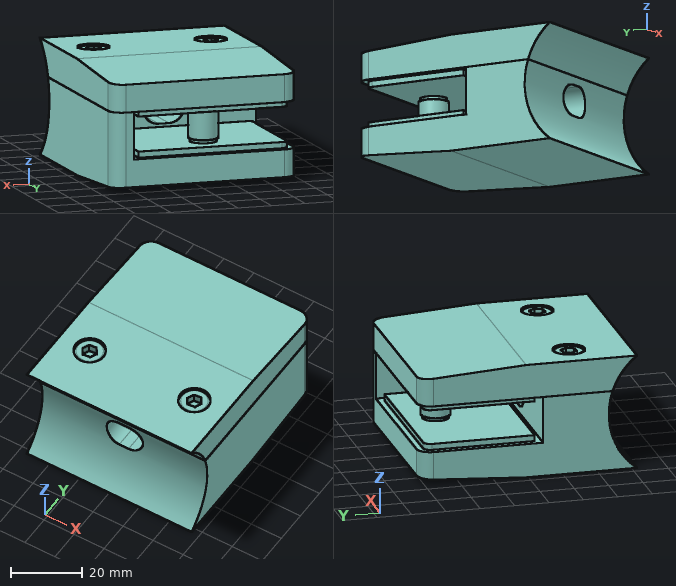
import cadquery as cq
import math


width = 55.0
length = 63.2
height = 33.5
side_x = width / 2
glass_end_y = length / 2
post_end_y = -length / 2
top_z = height / 2

taper_start_y = 0.7
taper_drop = 1.95
jaw_corner_radius = 4.0
post_radius = 21.2

slot_height = 13.6
slot_depth = 35.85
wall_thickness = 6.3
split_z = slot_height / 2
slot_back_y = glass_end_y - slot_depth
slot_width = width - wall_thickness
wall_x = side_x - wall_thickness

web_hole_width = 12.1
web_hole_height = 9.0

pad_thickness = 1.8
pad_margin = 1.95
pad_corner_radius = jaw_corner_radius - pad_margin

pin_diameter = 8.55
pin_end_diameter = 7.65
pin_band_height = 8.15
pin_x = (wall_x - side_x) / 2
pin_y = 20.65
pin_height = slot_height - 2 * pad_thickness

screw_spacing = 34.9
screw_y = -14.35
head_diameter = 9.1
head_height = 5.05
head_edge_radius = 0.7
head_recess = 0.3
shank_diameter = 5.05
shank_length = 17.7
socket_across_flats = 4.0
socket_depth = 2.5
socket_turn = 6.0
screw_places = [(-screw_spacing / 2, screw_y), (screw_spacing / 2, screw_y)]
head_top_z = top_z - head_recess
head_seat_z = head_top_z - head_height


def clamp_envelope():
    """Closed clamp without slot or holes: tapered profile, rounded corners, post saddle."""
    end_z = top_z - taper_drop
    saddle_centre_y = post_end_y - math.sqrt(post_radius**2 - top_z**2)
    saddle_bottom_y = saddle_centre_y + post_radius
    return (
        cq.Workplane("YZ")
        .moveTo(post_end_y, top_z)
        .lineTo(taper_start_y, top_z)
        .lineTo(glass_end_y, end_z)
        .lineTo(glass_end_y, -end_z)
        .lineTo(taper_start_y, -top_z)
        .lineTo(post_end_y, -top_z)
        .threePointArc((saddle_bottom_y, 0), (post_end_y, top_z))
        .close()
        .extrude(side_x, both=True)
        .edges("|Z and >Y")
        .fillet(jaw_corner_radius)
    )


def block_above_split():
    """Box covering everything above the joint between the jaws."""
    return cq.Workplane("XY").workplane(offset=split_z).rect(width, length).extrude(top_z - split_z)


def glass_slot():
    """Space for the glass between the jaws."""
    return (
        cq.Workplane("XY")
        .box(slot_width, slot_depth, slot_height, centered=False)
        .translate((-side_x, slot_back_y, -split_z))
    )


def web_hole():
    """Oblong hole along Y from the saddle into the glass slot."""
    return (
        cq.Workplane("XZ", origin=(0, slot_back_y, 0))
        .slot2D(web_hole_width, web_hole_height)
        .extrude(slot_back_y - post_end_y)
    )


def screw_blank(place):
    """Screw without socket or rounded edge; also the shape of its seat."""
    head = cq.Workplane("XY", origin=(*place, head_seat_z)).circle(head_diameter / 2).extrude(head_height)
    shank = cq.Workplane("XY", origin=(*place, head_seat_z)).circle(shank_diameter / 2).extrude(-shank_length)
    return head.union(shank)


def screw_hole(place):
    """Hole filled by the screw, open up to the top face."""
    recess = cq.Workplane("XY", origin=(*place, head_top_z)).circle(head_diameter / 2).extrude(head_recess)
    return screw_blank(place).union(recess)


def make_lower_jaw():
    jaw = clamp_envelope().cut(block_above_split()).cut(glass_slot()).cut(web_hole())
    for place in screw_places:
        jaw = jaw.cut(screw_hole(place))
    return jaw


def make_upper_jaw():
    jaw = clamp_envelope().intersect(block_above_split())
    for place in screw_places:
        jaw = jaw.cut(screw_hole(place))
    return jaw


def make_pad(bottom_z):
    """Pad set in by an equal margin from the slot's sides, rounded at its free corner."""
    pad_width = slot_width - 2 * pad_margin
    pad_length = slot_depth - 2 * pad_margin
    return (
        cq.Workplane("XY")
        .box(pad_width, pad_length, pad_thickness, centered=False)
        .edges("|Z and <X and >Y")
        .fillet(pad_corner_radius)
        .translate((-side_x + pad_margin, slot_back_y + pad_margin, bottom_z))
    )


def pin_cylinder(diameter, cylinder_height):
    """Upright cylinder on the pin's axis, centred on the glass mid-plane."""
    return (
        cq.Workplane("XY", origin=(pin_x, pin_y, -cylinder_height / 2))
        .circle(diameter / 2)
        .extrude(cylinder_height)
    )


def make_pin():
    """Pin with a wider band around its middle."""
    core = pin_cylinder(pin_end_diameter, pin_height)
    band = pin_cylinder(pin_diameter, pin_band_height)
    return core.union(band)


def make_screw(place):
    """Cap screw with a rounded head edge and a hexagon socket."""
    hexagon_half_angle = math.pi / 6
    socket_corner_diameter = socket_across_flats / math.cos(hexagon_half_angle)
    socket = (
        cq.Workplane("XY")
        .polygon(6, socket_corner_diameter)
        .extrude(-socket_depth)
        .rotate((0, 0, 0), (0, 0, 1), socket_turn)
        .translate((*place, head_top_z))
    )
    return screw_blank(place).faces(">Z").edges().fillet(head_edge_radius).cut(socket)


lower_jaw = make_lower_jaw()
upper_jaw = make_upper_jaw()
pads = [make_pad(bottom_z) for bottom_z in (-split_z, split_z - pad_thickness)]
pin = make_pin()
screws = [make_screw(place) for place in screw_places]

result = cq.Compound.makeCompound(
    [
        lower_jaw.solids().val(),
        upper_jaw.solids().val(),
        *[pad.solids().val() for pad in pads],
        pin.solids().val(),
        *[screw.solids().val() for screw in screws],
    ]
)